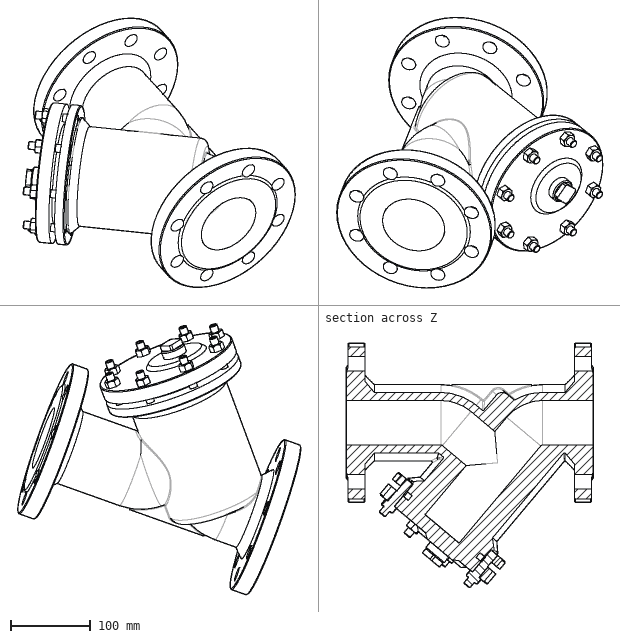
import cadquery as cq
import math

LENGTH = 310.0
PIPE_DIAMETER = 96.0
BORE_DIAMETER = 80.0
FLANGE_DIAMETER = 200.0
FLANGE_LENGTH = 24.0
FLANGE_EDGE_CHAMFER = 1.2
RAISED_FACE_HEIGHT = 2.2
RAISED_FACE_DIAMETER = 138.3
RAISED_FACE_BASE_DIAMETER = 145.0
HUB_LENGTH = 11.5
FLANGE_HOLE_DIAMETER = 18.0
FLANGE_HOLE_CIRCLE = 160.0
BOLT_COUNT = 8
BOLT_PITCH = 360.0 / BOLT_COUNT

BONNET_TILT = 50.0
INLET_TURN = 90.0 - BONNET_TILT
BEND_RADIUS = 31.0
INLET_BEND_X = -36.3
OUTLET_BEND_X = 91.5
WEB_THICKNESS = 15.5
WEB_INSET = 14.0

BONNET_DIAMETER = 126.0
BONNET_END = -8.5
BONNET_END_FILLET = 9.3
CONE_START = 141.7
CONE_BASE_DIAMETER = 151.3
COVER_DIAMETER = 176.0
BONNET_FLANGE_BACK = 154.5
BONNET_FLANGE_FACE = 166.2
COVER_BACK = 173.5
COVER_FACE = 191.0
COVER_EDGE_CHAMFER = 1.2
JOINT_FILLET = 1.5

BOSS_OFFSET = 14.3
BOSS_DIAMETER = 80.0
BOSS_HEIGHT = 4.5
PLUG_DIAMETER = 30.0
PLUG_COLLAR_LENGTH = 10.2
PLUG_COLLAR_CHAMFER = 1.5
PLUG_SQUARE = 22.0
PLUG_CORNER_CHAMFER = 2.2
PLUG_HEAD_LENGTH = 6.8

STUD_DIAMETER = 10.0
STUD_TIP_CHAMFER = 0.78
STUD_TIP = 208.3
STUD_CIRCLE = 150.0
NUT_ACROSS_FLATS = 16.0
NUT_HEIGHT = 8.5

PIPE_RADIUS = PIPE_DIAMETER / 2
BORE_RADIUS = BORE_DIAMETER / 2
HALF_LENGTH = LENGTH / 2
STUD_ANGLES = [BOLT_PITCH * (index + 0.5) for index in range(BOLT_COUNT)]


def bend_setback(turn):
    """Distance from the start of a bend to the crossing of its two axes."""
    return BEND_RADIUS * math.tan(math.radians(turn) / 2)


def direction(angle):
    """Unit vector in the XY plane."""
    return cq.Vector(math.cos(math.radians(angle)), math.sin(math.radians(angle)), 0)


ACROSS = direction(-INLET_TURN)
OUTWARD = direction(180 + BONNET_TILT)
INLET_CROSSING = cq.Vector(INLET_BEND_X + bend_setback(INLET_TURN), 0, 0)
BONNET_CROSSING = cq.Vector(OUTLET_BEND_X - bend_setback(BONNET_TILT), 0, 0)


def bonnet_plane(height, offset=0):
    """Plane square to the bonnet axis, its local x pointing along the inlet leg."""
    origin = BONNET_CROSSING + OUTWARD * height + ACROSS * offset
    return cq.Workplane(cq.Plane(origin=origin, xDir=ACROSS, normal=OUTWARD))


def bonnet_cylinder(diameter, start, end):
    return bonnet_plane(start).circle(diameter / 2).extrude(end - start)


def cone(workplane, start_diameter, end_diameter, height):
    return workplane.add(
        cq.Solid.makeCone(
            start_diameter / 2,
            end_diameter / 2,
            height,
            workplane.plane.origin,
            workplane.plane.zDir,
        )
    )


def elbow(radius, start_x, turn):
    """Round bend from +X toward -Y; the section is cut off where it would cross the bend axis."""
    half_chord = math.sqrt(radius**2 - BEND_RADIUS**2)
    return (
        cq.Workplane("YZ", origin=(start_x, 0, 0))
        .moveTo(-BEND_RADIUS, -half_chord)
        .threePointArc((radius, 0), (-BEND_RADIUS, half_chord))
        .close()
        .revolve(turn, (-BEND_RADIUS, 0), (-BEND_RADIUS, -1))
    )


def spline_elbow(radius, start_x, turn):
    """The same bend as spline surfaces, whose bounds are tighter than those of a revolved one."""
    bend = elbow(radius, start_x, turn)
    return bend.newObject([bend.val().toNURBS()])


def flow_path(radius, make_bend):
    """Solid round run: inlet pipe, inlet bend, inlet leg, outlet bend and outlet pipe."""
    inlet = cq.Workplane("YZ", origin=(-HALF_LENGTH, 0, 0)).circle(radius).extrude(HALF_LENGTH + INLET_BEND_X)
    outlet = cq.Workplane("YZ", origin=(OUTLET_BEND_X, 0, 0)).circle(radius).extrude(HALF_LENGTH - OUTLET_BEND_X)
    leg_start = INLET_CROSSING + ACROSS * bend_setback(INLET_TURN)
    leg_length = (BONNET_CROSSING - leg_start).dot(ACROSS)
    leg_plane = cq.Plane(origin=leg_start, xDir=(0, 0, 1), normal=ACROSS)
    leg = cq.Workplane(leg_plane).circle(radius).extrude(leg_length)
    return (
        inlet.union(make_bend(radius, INLET_BEND_X, INLET_TURN))
        .union(leg)
        .union(outlet)
        .union(make_bend(radius, -OUTLET_BEND_X, BONNET_TILT).mirror("YZ"))
    )


def end_flange():
    """Inlet flange with raised face, hub cone and bolt holes."""
    flange_front = -HALF_LENGTH + RAISED_FACE_HEIGHT
    flange_back = -HALF_LENGTH + FLANGE_LENGTH
    disc = (
        cq.Workplane("YZ", origin=(flange_front, 0, 0))
        .circle(FLANGE_DIAMETER / 2)
        .extrude(flange_back - flange_front)
        .edges()
        .chamfer(FLANGE_EDGE_CHAMFER)
    )
    raised_face = cone(
        cq.Workplane("YZ", origin=(-HALF_LENGTH, 0, 0)),
        RAISED_FACE_DIAMETER,
        RAISED_FACE_BASE_DIAMETER,
        RAISED_FACE_HEIGHT,
    )
    hub = cone(
        cq.Workplane("YZ", origin=(flange_back, 0, 0)),
        PIPE_DIAMETER + 2 * HUB_LENGTH,
        PIPE_DIAMETER,
        HUB_LENGTH,
    )
    holes = (
        cq.Workplane("YZ", origin=(-HALF_LENGTH, 0, 0))
        .polarArray(FLANGE_HOLE_CIRCLE / 2, BOLT_PITCH / 2, 360, BOLT_COUNT)
        .circle(FLANGE_HOLE_DIAMETER / 2)
        .extrude(FLANGE_LENGTH)
    )
    return disc.union(raised_face).cut(holes).union(hub)


def web():
    """Flat web that closes the back between the two elbows, as high as the pipe."""
    start_x = INLET_BEND_X + WEB_INSET
    length = OUTLET_BEND_X - WEB_INSET - start_x
    return cq.Workplane("XY", origin=(start_x, 0, 0)).box(
        length, PIPE_RADIUS, WEB_THICKNESS, centered=(False, False, True)
    )


def bonnet():
    """Barrel with a rounded inner end, flared into the flange that carries the cover."""
    barrel = bonnet_cylinder(BONNET_DIAMETER, BONNET_END, BONNET_FLANGE_BACK)
    barrel = barrel.faces(cq.selectors.DirectionMinMaxSelector(OUTWARD, False)).edges().fillet(BONNET_END_FILLET)
    flare = cone(
        bonnet_plane(CONE_START), BONNET_DIAMETER, CONE_BASE_DIAMETER, BONNET_FLANGE_BACK - CONE_START
    )
    flange = (
        bonnet_cylinder(COVER_DIAMETER, BONNET_FLANGE_BACK, BONNET_FLANGE_FACE)
        .faces(cq.selectors.DirectionMinMaxSelector(OUTWARD, False))
        .edges()
        .chamfer(COVER_EDGE_CHAMFER)
    )
    flared_barrel = barrel.union(flare).edges(
        cq.selectors.NearestToPointSelector(bonnet_plane(CONE_START).plane.origin.toTuple())
    ).fillet(JOINT_FILLET)
    return flared_barrel.union(flange)


def cover():
    """Cover with the joint ring below it and the drain boss and plug on top."""
    joint_ring = bonnet_cylinder(BONNET_DIAMETER, BONNET_FLANGE_FACE, COVER_BACK)
    plate = (
        bonnet_cylinder(COVER_DIAMETER, COVER_BACK, COVER_FACE)
        .faces(cq.selectors.DirectionMinMaxSelector(OUTWARD, True))
        .edges()
        .chamfer(COVER_EDGE_CHAMFER)
    )
    boss_top = COVER_FACE + BOSS_HEIGHT
    collar_top = boss_top + PLUG_COLLAR_LENGTH
    boss = cone(
        bonnet_plane(COVER_FACE, BOSS_OFFSET), BOSS_DIAMETER, BOSS_DIAMETER - 2 * BOSS_HEIGHT, BOSS_HEIGHT
    )
    collar = (
        bonnet_plane(boss_top, BOSS_OFFSET)
        .circle(PLUG_DIAMETER / 2)
        .extrude(PLUG_COLLAR_LENGTH)
        .faces(cq.selectors.DirectionMinMaxSelector(OUTWARD, True))
        .edges()
        .chamfer(PLUG_COLLAR_CHAMFER)
    )
    head = (
        bonnet_plane(collar_top, BOSS_OFFSET)
        .transformed(rotate=(0, 0, 45))
        .rect(PLUG_SQUARE, PLUG_SQUARE)
        .extrude(PLUG_HEAD_LENGTH)
        .edges(cq.selectors.ParallelDirSelector(OUTWARD))
        .chamfer(PLUG_CORNER_CHAMFER)
    )
    return joint_ring.union(plate).union(boss).union(collar).union(head)


def stud_plane(height, angle):
    """Plane on a stud axis, turned with the stud's place on the bolt circle."""
    return bonnet_plane(height).transformed(rotate=(0, 0, angle)).center(STUD_CIRCLE / 2, 0)


def stud_hole(angle):
    return stud_plane(BONNET_FLANGE_BACK, angle).circle(STUD_DIAMETER / 2).extrude(COVER_FACE - BONNET_FLANGE_BACK)


def outer_body():
    """Pipe run, bonnet and web, with the seams between them rounded."""
    body = flow_path(PIPE_RADIUS, elbow).union(bonnet()).edges("%BSPLINE").fillet(JOINT_FILLET)
    return body.union(web()).faces("|Z").edges("not(%LINE and (|X or |Y))").fillet(JOINT_FILLET)


def make_housing():
    """Hollow body with its end flanges, bonnet and cover, as one solid."""
    inlet_flange = end_flange()
    bonnet_bore = bonnet_cylinder(BORE_DIAMETER, bend_setback(BONNET_TILT), COVER_BACK)
    housing = outer_body().union(inlet_flange).union(inlet_flange.mirror("YZ")).union(cover())
    housing = housing.cut(flow_path(BORE_RADIUS, spline_elbow)).cut(bonnet_bore)
    for angle in STUD_ANGLES:
        housing = housing.cut(stud_hole(angle))
    return housing


def make_bolt(angle):
    """Stud with its nut, as one solid."""
    stud = (
        stud_plane(BONNET_FLANGE_BACK, angle)
        .circle(STUD_DIAMETER / 2)
        .extrude(STUD_TIP - BONNET_FLANGE_BACK)
        .faces(cq.selectors.DirectionMinMaxSelector(OUTWARD, True))
        .edges()
        .chamfer(STUD_TIP_CHAMFER)
    )
    nut = (
        stud_plane(COVER_FACE, angle)
        .polygon(6, NUT_ACROSS_FLATS, circumscribed=True)
        .extrude(NUT_HEIGHT)
    )
    envelope = cone(
        stud_plane(COVER_FACE, angle),
        NUT_ACROSS_FLATS + 2 * NUT_HEIGHT,
        NUT_ACROSS_FLATS,
        NUT_HEIGHT,
    )
    return stud.union(nut.intersect(envelope))


housing = make_housing()
bolts = [make_bolt(angle) for angle in STUD_ANGLES]
result = cq.Compound.makeCompound([housing.val(), *[bolt.val() for bolt in bolts]])